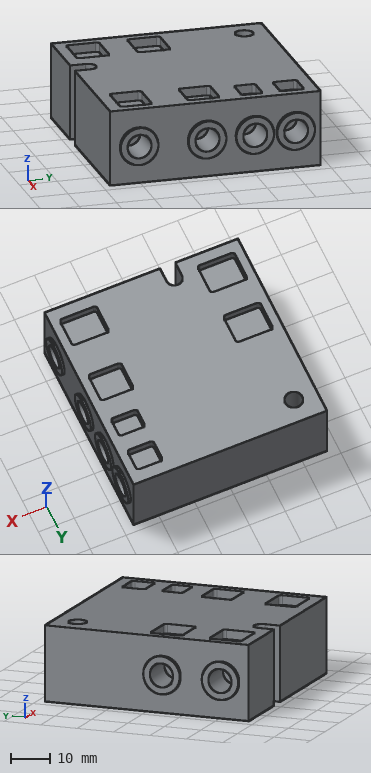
import cadquery as cq

length_x = 54.0
overall_x = 55.4
length_y = 55.9
height = 20.05

hole_x = 6.4
hole_y = 49.45
hole_diameter = 4.7
slot_x = 19.6
slot_width = 4.25
slot_reach = 6.25

pocket_depth = 2.5
pocket_corner_radius = 0.8
pocket_margin = 2.55

port_z = height / 2
collar_diameter = 10.0
collar_projection = (overall_x - length_x) / 2
bore_diameter = 6.3
bore_depth = 10.0

left_stations = [
    (7.6, 7.6, 10.3, 8.65),
    (23.65, 23.75, 10.3, 8.65),
]
right_stations = [
    (7.6, 7.7, 10.3, 8.4),
    (25.65, 25.65, 9.15, 8.4),
    (38.35, 38.5, 7.25, 5.6),
    (49.2, 49.1, 7.25, 6.3),
]


def pocket(x, y, size_x, size_y):
    """Cutter for one top pocket centred on x, y."""
    return (
        cq.Workplane("XY", origin=(x, y, height - pocket_depth))
        .rect(size_x, size_y)
        .extrude(pocket_depth)
        .edges("|Z")
        .fillet(pocket_corner_radius)
    )


def port_cylinder(face_x, y, inward, diameter, length):
    """Cylinder along X, running inward from the outer face of a collar.

    inward is +1 for the left side face and -1 for the right one.
    """
    start = cq.Vector(face_x - inward * collar_projection, y, port_z)
    direction = cq.Vector(inward, 0, 0)
    return cq.Workplane(obj=cq.Solid.makeCylinder(diameter / 2, length, start, direction))


def add_stations(body, stations, face_x, inward):
    """Add the collars, bores and pockets along one side face."""
    for port_y, pocket_y, size_x, size_y in stations:
        collar = port_cylinder(face_x, port_y, inward, collar_diameter, collar_projection)
        bore = port_cylinder(face_x, port_y, inward, bore_diameter, bore_depth)
        pocket_x = face_x + inward * (pocket_margin + size_x / 2)
        body = body.union(collar)
        body = body.cut(bore)
        body = body.cut(pocket(pocket_x, pocket_y, size_x, size_y))
    return body


body = cq.Workplane("XY").box(length_x, length_y, height, centered=False)

mounting_hole = cq.Workplane("XY").center(hole_x, hole_y).circle(hole_diameter / 2).extrude(height)
body = body.cut(mounting_hole)

slot_straight = slot_reach - slot_width / 2
slot = (
    cq.Workplane("XY")
    .moveTo(slot_x - slot_width / 2, 0)
    .lineTo(slot_x - slot_width / 2, slot_straight)
    .threePointArc((slot_x, slot_reach), (slot_x + slot_width / 2, slot_straight))
    .lineTo(slot_x + slot_width / 2, 0)
    .close()
    .extrude(height)
)
body = body.cut(slot)

body = add_stations(body, left_stations, 0, 1)
body = add_stations(body, right_stations, length_x, -1)

result = body